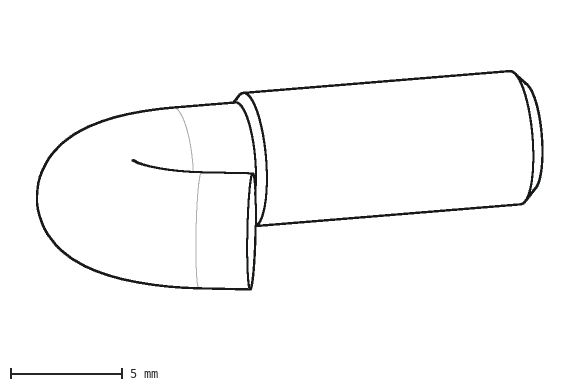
import cadquery as cq
import math

total_length = 24.0
shank_diameter = 6.0
rod_diameter = 5.2
bend_inner_radius = 2.5
bend_sweep = 160.0
tip_length = 2.3
shank_length = 13.4
end_chamfer = 0.6

rod_radius = rod_diameter / 2
bend_radius = bend_inner_radius + rod_radius
shoulder_chamfer = (shank_diameter - rod_diameter) / 2
straight_length = total_length - bend_radius - rod_radius

shank_start = straight_length - shank_length


def bend_point(angle):
    """Point on the bend centreline after turning by angle degrees."""
    turn = math.radians(angle)
    return (bend_radius * (1 - math.cos(turn)), -bend_radius * math.sin(turn))


def make_hook():
    """Round rod: straight neck, circular bend and short straight tip."""
    bend_end = bend_point(bend_sweep)
    heading = math.radians(bend_sweep)
    tip_end = (
        bend_end[0] + tip_length * math.sin(heading),
        bend_end[1] - tip_length * math.cos(heading),
    )
    path = (
        cq.Workplane("XY")
        .moveTo(0, straight_length - end_chamfer)
        .lineTo(0, 0)
        .threePointArc(bend_point(bend_sweep / 2), bend_end)
        .lineTo(*tip_end)
    )
    profile = cq.Workplane("XZ", origin=(0, straight_length - end_chamfer, 0)).circle(rod_radius)
    return profile.sweep(path)


def make_shank():
    """Thicker cylinder with a chamfer at its free end and at the neck."""
    shank = (
        cq.Workplane("XZ", origin=(0, shank_start, 0))
        .circle(shank_diameter / 2)
        .extrude(-shank_length)
    )
    return shank.faces(">Y").chamfer(end_chamfer).faces("<Y").chamfer(shoulder_chamfer)


result = make_hook().union(make_shank())